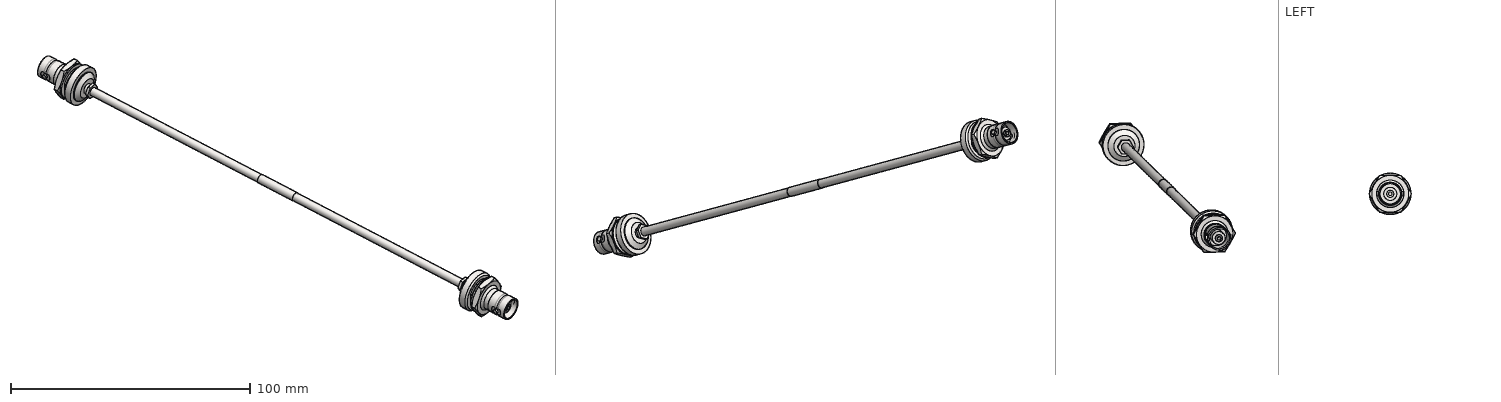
import cadquery as cq

LENGTH = 249.0

CABLE_DIAMETER = 3.7
SLEEVE_DIAMETER = 4.0
SLEEVE_LENGTH = 18.7

NOSE_DIAMETER = 9.7
NOSE_RADIUS = NOSE_DIAMETER / 2
NOSE_END = 10.7
BORE_RADIUS = 4.2
BORE_DEPTH = 7.5
VEE_START = 3.2
VEE_WIDTH = 1.7
VEE_DEPTH = 0.2
STEP_START = 8.5
STEP_RADIUS = 4.7

LUG_DIAMETER = 2.0
LUG_SPAN = 11.0
SPOTFACE_DIAMETER = 4.7
SPOTFACE_DISTANCE = 9.2

INSULATOR_RADIUS = 2.7
INSULATOR_FRONT = 2.0
CONTACT_RADIUS = 1.5
CONTACT_FRONT = 1.2
SOCKET_RADIUS = 0.7
SOCKET_DEPTH = 5.0

BARREL_RADIUS = 6.2
SHOULDER_START = 16.2
SHOULDER_RADIUS = 6.5
FLATS_DISTANCE = 11.7

HEX_START = 11.7
HEX_END = 14.5
HEX_CORNERS = 18.0
HEX_CHAMFER_RADIUS = 7.7
HEX_CHAMFER_LENGTH = 0.5
WASHER_END = 15.2
WASHER_DIAMETER = 15.7
WASHER_RADIUS = WASHER_DIAMETER / 2

FLANGE_START = 17.0
FLANGE_END = 20.7
FLANGE_RADIUS = 8.7
FLANGE_CHAMFER = 0.7
CAP_RADIUS = 6.7
CAP_CONE_START = 21.2
CAP_END = 22.7
CAP_END_RADIUS = 4.5

NECK_RADIUS = 2.2
GLAND_START = 24.5
GLAND_END = 25.6
GLAND_CORNERS = 6.7


def turned(profile):
    """Solid of revolution about X from (x, radius) points that close along the axis."""
    return cq.Workplane("XZ").polyline(profile).close().revolve(360, (0, 0, 0), (1, 0, 0))


def hexagon(corners, start, end):
    """Hexagonal prism along X with corners on the Y axis."""
    return cq.Workplane("YZ").workplane(offset=start).polygon(6, corners).extrude(end - start)


def cross_rod(x, diameter, length):
    """Round rod along Y, centred on the axis of the part."""
    return cq.Workplane("XZ").center(x, 0).circle(diameter / 2).extrude(length / 2, both=True)


def make_nose():
    """Hollow nose with a V groove, and two lugs standing on flat spotfaces."""
    vee_middle = VEE_START + VEE_WIDTH / 2
    nose = turned([
        (0, 0),
        (0, NOSE_RADIUS),
        (VEE_START, NOSE_RADIUS),
        (vee_middle, NOSE_RADIUS - VEE_DEPTH),
        (VEE_START + VEE_WIDTH, NOSE_RADIUS),
        (STEP_START, NOSE_RADIUS),
        (STEP_START, STEP_RADIUS),
        (NOSE_END, STEP_RADIUS),
        (NOSE_END, 0),
    ])
    spotfaces = cross_rod(vee_middle, SPOTFACE_DIAMETER, LUG_SPAN).cut(
        cross_rod(vee_middle, SPOTFACE_DIAMETER, SPOTFACE_DISTANCE)
    )
    lugs = cross_rod(vee_middle, LUG_DIAMETER, LUG_SPAN)
    bore = turned([(0, 0), (0, BORE_RADIUS), (BORE_DEPTH, BORE_RADIUS), (BORE_DEPTH, 0)])
    return nose.cut(spotfaces).union(lugs).cut(bore)


def make_insert():
    """Insulator and tubular contact standing on the floor of the bore."""
    socket_end = CONTACT_FRONT + SOCKET_DEPTH
    return turned([
        (BORE_DEPTH, 0),
        (BORE_DEPTH, INSULATOR_RADIUS),
        (INSULATOR_FRONT, INSULATOR_RADIUS),
        (INSULATOR_FRONT, CONTACT_RADIUS),
        (CONTACT_FRONT, CONTACT_RADIUS),
        (CONTACT_FRONT, SOCKET_RADIUS),
        (socket_end, SOCKET_RADIUS),
        (socket_end, 0),
    ])


def make_barrel():
    """Barrel behind the nose, flattened on both Y sides."""
    lead_in = BARREL_RADIUS - STEP_RADIUS
    barrel = turned([
        (NOSE_END, 0),
        (NOSE_END, STEP_RADIUS),
        (NOSE_END + lead_in, BARREL_RADIUS),
        (SHOULDER_START, BARREL_RADIUS),
        (SHOULDER_START, SHOULDER_RADIUS),
        (FLANGE_START, SHOULDER_RADIUS),
        (FLANGE_START, 0),
    ])
    length = FLANGE_START - NOSE_END
    between_flats = (
        cq.Workplane("YZ")
        .workplane(offset=NOSE_END)
        .rect(FLATS_DISTANCE, 2 * SHOULDER_RADIUS)
        .extrude(length)
    )
    return barrel.intersect(between_flats)


def make_hex():
    """Hexagon chamfered at both ends, and the washer face behind it."""
    corner_radius = HEX_CORNERS / 2
    chamfer_cone = turned([
        (HEX_START, 0),
        (HEX_START, HEX_CHAMFER_RADIUS),
        (HEX_START + HEX_CHAMFER_LENGTH, corner_radius),
        (HEX_END - HEX_CHAMFER_LENGTH, corner_radius),
        (HEX_END, HEX_CHAMFER_RADIUS),
        (HEX_END, 0),
    ])
    washer = turned([
        (HEX_END, 0),
        (HEX_END, WASHER_RADIUS),
        (WASHER_END, WASHER_RADIUS),
        (WASHER_END, 0),
    ])
    return hexagon(HEX_CORNERS, HEX_START, HEX_END).intersect(chamfer_cone).union(washer)


def make_flange():
    """Round flange, its conical rear cap and the neck of the gland."""
    return turned([
        (FLANGE_START, 0),
        (FLANGE_START, FLANGE_RADIUS - FLANGE_CHAMFER),
        (FLANGE_START + FLANGE_CHAMFER, FLANGE_RADIUS),
        (FLANGE_END, FLANGE_RADIUS),
        (FLANGE_END, CAP_RADIUS),
        (CAP_CONE_START, CAP_RADIUS),
        (CAP_END, CAP_END_RADIUS),
        (CAP_END, NECK_RADIUS),
        (GLAND_START, NECK_RADIUS),
        (GLAND_START, 0),
    ])


def make_connector():
    """One connector with its mating end at X = 0."""
    gland = hexagon(GLAND_CORNERS, GLAND_START, GLAND_END)
    return (
        make_nose()
        .union(make_insert())
        .union(make_barrel())
        .union(make_hex())
        .union(make_flange())
        .union(gland)
    )


def make_rod(diameter, start, end):
    """Round rod along X, on the axis of the part."""
    return cq.Workplane("YZ").workplane(offset=start).circle(diameter / 2).extrude(end - start)


def mirrored(body):
    """The same body at the other end of the assembly."""
    return body.mirror("YZ", (LENGTH / 2, 0, 0))


sleeve_start = (LENGTH - SLEEVE_LENGTH) / 2
sleeve_end = sleeve_start + SLEEVE_LENGTH

connector = make_connector()
cable = make_rod(CABLE_DIAMETER, GLAND_END, sleeve_start)
sleeve = make_rod(SLEEVE_DIAMETER, sleeve_start, sleeve_end)

bodies = [sleeve.val()]
for body in (connector, cable):
    bodies += [body.val(), mirrored(body).val()]

result = cq.Compound.makeCompound(bodies)